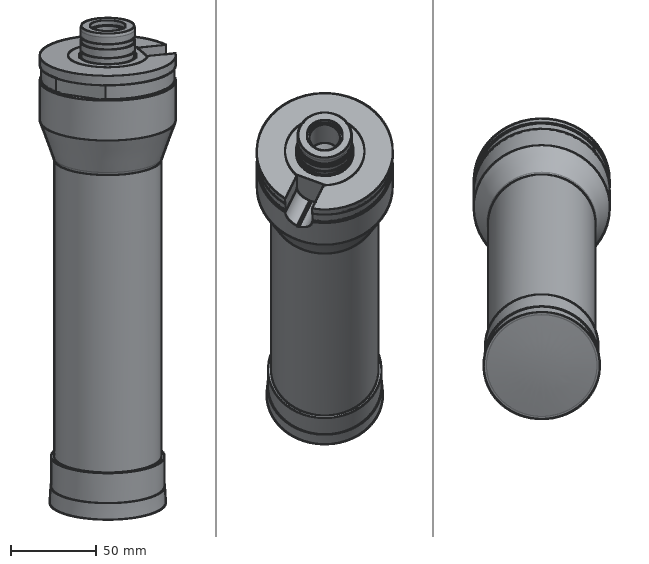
import cadquery as cq
import math

total_height = 295.0

foot_diameter = 68.5
foot_dome_diameter = 65.0
foot_dome_sag = 1.8
foot_top_diameter = 67.3
foot_top = 11.8
sleeve_diameter = 66.7
sleeve_top = 30.0

tube_diameter = 63.0
tube_shoulder = 213.0
cone_bottom_diameter = 64.3
cone_bottom = 214.8
cone_top = 237.0
head_diameter = 80.0
head_top = 261.5

boss_diameter = 46.5
boss_flat_offset = 21.2
collar_top = 276.7

collar_neck_diameter = 78.5
collar_rim_bottom = 270.8
seam_width = 0.5
seam_depth = 1.0

channel_width = 17.0
channel_axis_height = head_top
channel_groove_width = 1.2
channel_groove_depth = 1.0

flat_distance = 35.7
flat_angle = -45.0

stub_diameter = 32.2
stub_groove_diameter = 31.0
stub_groove_width = 3.2
stub_groove_bottoms = [collar_top, 285.3]
stub_recess_diameter = 34.0
stub_recess_depth = 1.0
stub_chamfer = 0.5
stub_chamfer_height = 2.0

bore_diameter = 18.0
bore_depth = 23.5
counterbore_diameter = 21.0
counterbore_depth = 3.0
bore_tip_angle = 118.0


def cylinder(diameter, bottom, top):
    return cq.Workplane("XY").workplane(offset=bottom).circle(diameter / 2).extrude(top - bottom)


def ring(outer, inner, bottom, top):
    return cylinder(outer, bottom, top).cut(cylinder(inner, bottom, top))


def turned_body():
    """Revolved outline of foot, sleeve, tube, head, boss and stub."""
    dome_radius = foot_dome_diameter / 2
    sphere_radius = (dome_radius ** 2 + foot_dome_sag ** 2) / (2 * foot_dome_sag)
    mid_x = dome_radius / 2
    mid_z = sphere_radius - math.sqrt(sphere_radius ** 2 - mid_x ** 2)
    return (
        cq.Workplane("XZ")
        .moveTo(0, 0)
        .threePointArc((mid_x, mid_z), (dome_radius, foot_dome_sag))
        .lineTo(foot_diameter / 2, foot_dome_sag)
        .lineTo(foot_top_diameter / 2, foot_top)
        .lineTo(sleeve_diameter / 2, foot_top)
        .lineTo(sleeve_diameter / 2, sleeve_top)
        .lineTo(tube_diameter / 2, sleeve_top)
        .lineTo(tube_diameter / 2, tube_shoulder)
        .lineTo(cone_bottom_diameter / 2, cone_bottom)
        .lineTo(head_diameter / 2, cone_top)
        .lineTo(head_diameter / 2, head_top)
        .lineTo(boss_diameter / 2, head_top)
        .lineTo(boss_diameter / 2, collar_top)
        .lineTo(stub_diameter / 2, collar_top)
        .lineTo(stub_diameter / 2, total_height - stub_chamfer_height)
        .lineTo(stub_diameter / 2 - stub_chamfer, total_height)
        .lineTo(0, total_height)
        .close()
        .revolve(360, (0, 0, 0), (0, 1, 0))
    )


def stub_bore():
    """Counterbored blind hole with a conical tip."""
    radius = bore_diameter / 2
    floor = total_height - bore_depth
    tip = floor - radius / math.tan(math.radians(bore_tip_angle / 2))
    ledge = total_height - counterbore_depth
    return (
        cq.Workplane("XZ")
        .moveTo(0, tip)
        .lineTo(radius, floor)
        .lineTo(radius, ledge)
        .lineTo(counterbore_diameter / 2, ledge)
        .lineTo(counterbore_diameter / 2, total_height)
        .lineTo(0, total_height)
        .close()
        .revolve(360, (0, 0, 0), (0, 1, 0))
    )


def radial_channel():
    """Upright slot with a half-round, centre-grooved floor, running outward along +Y from the boss flat."""
    length = head_diameter / 2
    height = total_height - channel_axis_height
    start = cq.Workplane("XZ", origin=(0, boss_flat_offset, channel_axis_height))
    floor = start.circle(channel_width / 2).extrude(-length)
    walls = start.center(0, height / 2).rect(channel_width, height).extrude(-length)
    groove_height = channel_width / 2 + channel_groove_depth
    groove = start.center(0, -groove_height / 2).rect(channel_groove_width, groove_height).extrude(-length)
    return floor.union(walls).union(groove)


def boss_flat():
    """Removes the +Y segment of the boss above the head."""
    height = collar_top - head_top
    return (
        cq.Workplane("XY", origin=(0, boss_flat_offset + boss_diameter / 2, head_top))
        .box(boss_diameter, boss_diameter, height, centered=(True, True, False))
    )


def make_housing():
    housing = turned_body().cut(stub_bore()).cut(boss_flat()).cut(radial_channel())
    recess = ring(stub_recess_diameter, stub_groove_diameter, collar_top - stub_recess_depth, collar_top)
    housing = housing.cut(recess)
    for bottom in stub_groove_bottoms:
        housing = housing.cut(ring(stub_diameter, stub_groove_diameter, bottom, bottom + stub_groove_width))
    return housing


def neck_flat():
    """Block outside the tangential flat on the collar neck."""
    height = collar_rim_bottom - head_top
    return (
        cq.Workplane("XY", origin=(0, 0, head_top))
        .center(flat_distance + head_diameter / 2, 0)
        .rect(head_diameter, head_diameter)
        .extrude(height)
        .rotate((0, 0, 0), (0, 0, 1), flat_angle)
    )


def make_collar():
    rim = cylinder(head_diameter, collar_rim_bottom, collar_top)
    neck = cylinder(collar_neck_diameter, head_top, collar_rim_bottom).cut(neck_flat())
    seam = ring(head_diameter, collar_neck_diameter - 2 * seam_depth, head_top, head_top + seam_width)
    bore = cylinder(boss_diameter, head_top, collar_top)
    return rim.union(neck).cut(seam).cut(bore).cut(radial_channel())


housing = make_housing()
collar = make_collar()
result = cq.Compound.makeCompound([housing.val(), collar.val()])